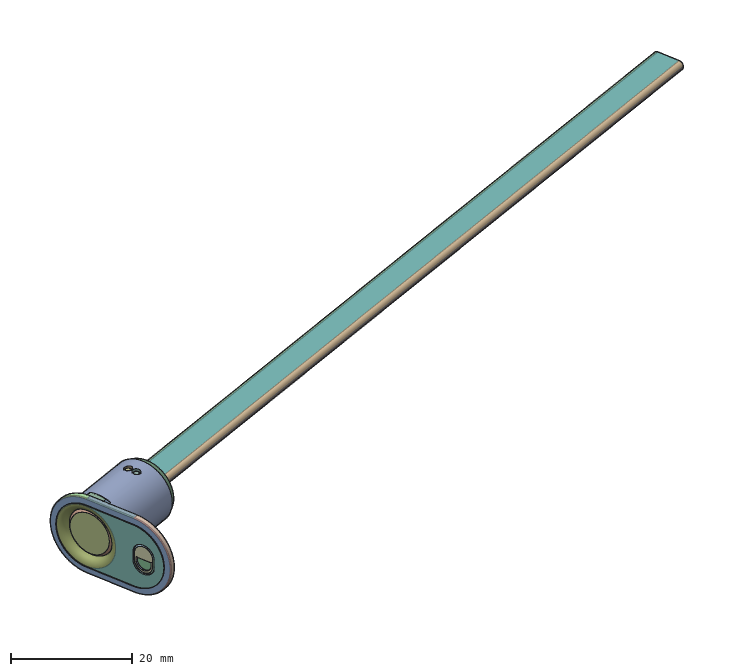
import cadquery as cq
import math


total_length = 165.9
flange_length = 24.5

barrel_radius = 6.0
barrel_end = 17.3
taper_length = 1.2
taper_depth = 0.5

flange_overhang = 1.53
flange_radius = barrel_radius + flange_overhang
flange_spacing = flange_length - 2 * flange_radius
flange_thickness = 1.2
rim_width = 1.3
rim_setback = 0.2
rim_fillet = 0.2

flare_radius = 1.5
bore_radius = barrel_radius - flare_radius
bore_depth = 3.3
plug_chamfer = 0.5
plug_face = flare_radius - plug_chamfer

insert_x = 11.6
insert_height = 5.8
insert_width = 4.3
insert_depth = 0.8
insert_chamfer = 0.3
notch_height = 4.3
notch_width = 3.0
notch_depth = 0.3

pin_radius = 0.75
pin_offset = 0.8
pin_y = 13.1
pin_seat = 4.6
pin_top = 5.6
pin_chamfer = 0.25

bump_y = 2.7
bump_height = 0.5
bump_base_length = 2.3
bump_top_length = 1.5
bump_base_width = 4.5
bump_top_width = 3.0

strap_x = -0.25
strap_width = 6.0
strap_bottom = 0.2
strap_thickness = 1.8
strap_fillet = 0.8


def cylinder_along_y(radius, start, end):
    return cq.Workplane("XZ", origin=(0, start, 0)).circle(radius).extrude(start - end)


def flange_obround(radius, start, end):
    """Obround prism along Y, rounded about the barrel axis at its -X end."""
    plane = cq.Workplane("XZ", origin=(flange_spacing / 2, start, 0))
    return plane.slot2D(flange_spacing + 2 * radius, 2 * radius).extrude(start - end)


def make_barrel():
    """Cylinder with a short lead-in taper at its rear end."""
    return (
        cq.Workplane("XY")
        .lineTo(barrel_radius, 0)
        .lineTo(barrel_radius, barrel_end - taper_length)
        .lineTo(barrel_radius - taper_depth, barrel_end)
        .lineTo(0, barrel_end)
        .close()
        .revolve(360, (0, 0, 0), (0, 1, 0))
    )


def make_flange():
    rim = flange_obround(flange_radius, rim_setback, flange_thickness)
    rim = rim.faces("<Y").edges().fillet(rim_fillet)
    panel = flange_obround(flange_radius - rim_width, 0, flange_thickness)
    return rim.union(panel)


def make_mouth():
    """Space of the bore, opening to the front with a quarter-round flare."""
    diagonal = flare_radius * math.sqrt(0.5)
    return (
        cq.Workplane("XY")
        .lineTo(barrel_radius, 0)
        .threePointArc(
            (barrel_radius - diagonal, flare_radius - diagonal),
            (bore_radius, flare_radius),
        )
        .lineTo(bore_radius, bore_depth)
        .lineTo(0, bore_depth)
        .close()
        .revolve(360, (0, 0, 0), (0, 1, 0))
    )


def make_bump():
    """Bump on top of the barrel, following its curve and sloping down on all four sides."""
    top_radius = barrel_radius + bump_height
    ring = (
        cq.Workplane("XY")
        .moveTo(0, bump_y - bump_base_length / 2)
        .lineTo(barrel_radius, bump_y - bump_base_length / 2)
        .lineTo(top_radius, bump_y - bump_top_length / 2)
        .lineTo(top_radius, bump_y + bump_top_length / 2)
        .lineTo(barrel_radius, bump_y + bump_base_length / 2)
        .lineTo(0, bump_y + bump_base_length / 2)
        .close()
        .revolve(360, (0, 0, 0), (0, 1, 0))
    )
    base_z = math.sqrt(barrel_radius**2 - (bump_base_width / 2) ** 2)
    sides = (
        cq.Workplane("XZ", origin=(0, bump_y - bump_base_length, 0))
        .polyline([
            (-bump_base_width / 2, bore_radius),
            (bump_base_width / 2, bore_radius),
            (bump_base_width / 2, base_z),
            (bump_top_width / 2, top_radius),
            (-bump_top_width / 2, top_radius),
            (-bump_base_width / 2, base_z),
        ])
        .close()
        .extrude(-2 * bump_base_length)
    )
    return ring.intersect(sides).cut(cylinder_along_y(bore_radius, 0, barrel_end))


def insert_blank():
    plane = cq.Workplane("XZ", origin=(insert_x, 0, 0))
    return plane.slot2D(insert_height, insert_width, 90).extrude(-insert_depth)


def pin_blank(x, top):
    plane = cq.Workplane("XY", origin=(x, pin_y, pin_seat))
    return plane.circle(pin_radius).extrude(top - pin_seat)


def make_housing():
    bump = make_bump()
    body = make_barrel().union(make_flange()).union(bump).union(bump.mirror("XY"))
    body = body.cut(make_mouth()).cut(insert_blank())
    for x in (-pin_offset, pin_offset):
        body = body.cut(pin_blank(x, barrel_radius))
    return body


def make_plug():
    plug = cylinder_along_y(bore_radius, plug_face, bore_depth)
    return plug.faces("<Y").edges().chamfer(plug_chamfer)


def make_insert():
    """Obround insert with a shallow notch in the lower half of its face."""
    insert = insert_blank().faces("<Y").edges().chamfer(insert_chamfer)
    face = cq.Workplane("XZ", origin=(insert_x, 0, 0))
    notch = face.slot2D(notch_height, notch_width, 90).extrude(-notch_depth)
    lower_half = face.center(0, -insert_height / 2).rect(insert_width, insert_height).extrude(-notch_depth)
    return insert.cut(notch.intersect(lower_half))


def make_pin(x):
    return pin_blank(x, pin_top).faces(">Z").edges().chamfer(pin_chamfer)


def make_strap():
    """Flat strap that butts against the rear end of the barrel."""
    middle = strap_bottom + strap_thickness / 2
    plane = cq.Workplane("XZ", origin=(strap_x, barrel_end, middle))
    strap = plane.rect(strap_width, strap_thickness).extrude(barrel_end - total_length)
    return strap.edges("|Y").fillet(strap_fillet)


housing = make_housing()
plug = make_plug()
insert = make_insert()
strap = make_strap()
pins = [make_pin(x).val() for x in (-pin_offset, pin_offset)]

result = cq.Compound.makeCompound([
    *housing.vals(),
    plug.val(),
    insert.val(),
    strap.val(),
    *pins,
])